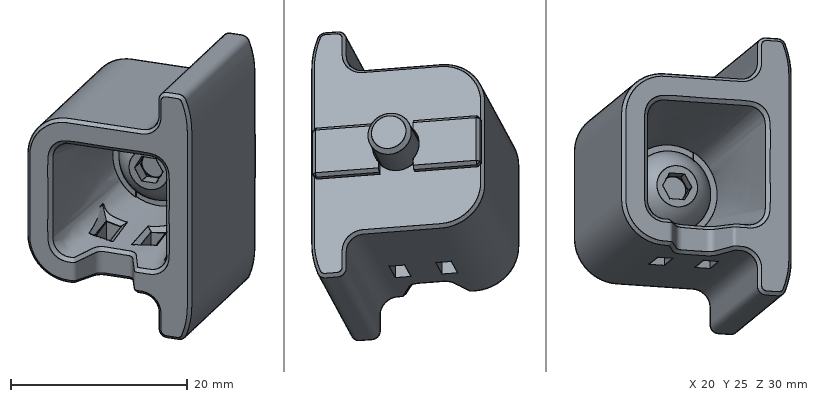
import cadquery as cq
import math


body_size = 20.0
flange_height = 30.0
flange_thickness = 4.0
depth = 20.0
body_corner_radius = 5.0
web_radius = 2.0
tip_radius = 1.0
crown_radius = 10.0
crown_start_z = 10.7
edge_chamfer = 0.4

cavity_size = 14.0
cavity_corner_radius = 2.0
seat_diameter = 11.0
seat_depth = 15.0

hole_diameter = 5.4
relief_depth = 0.2

key_length = 19.38
key_width = 6.0
key_height = 1.0
key_gap = 4.02

slot_depth = 3.5
slot_rear_width = 4.02
slot_front_width = 7.32
slot_corner_radius = 1.0
slot_mouth_radius = 0.5
window_width = 1.8
window_length = 3.48
window_front_y = 6.12
window_spacing = 5.4
window_chamfer = 0.6
window_sites = [(-1, -5.82, 0.23, 0.17), (1, -6.0, 0.14, 0.14)]

shank_diameter = 5.0
shank_end_y = 25.0
shank_chamfer = 0.5
head_diameter = 9.5
head_height = 2.75
head_flat_diameter = 4.8
socket_flats = 3.0
socket_depth = 1.55
socket_drill_depth = 1.7

reach = 0.3

body_half = body_size / 2
flange_half = flange_height / 2
flange_inner_x = body_half - flange_thickness
seat_radius = seat_diameter / 2
bottom_middle_x = ((body_corner_radius - body_half) + (flange_inner_x - web_radius)) / 2


def facing_front(y):
    """Workplane parallel to the front face at distance y behind it, with local axes X and Z."""
    return cq.Workplane(cq.Plane((0, y, 0), (1, 0, 0), (0, -1, 0)))


def box_region(x_range, y_range, z_range):
    """Selector for edges whose centres lie inside a box."""
    low, high = zip(x_range, y_range, z_range)
    return cq.selectors.BoxSelector(low, high)


def crown_x(z):
    """X of the curved outer side of the flange at height z."""
    return body_half - crown_radius + math.sqrt(crown_radius**2 - (abs(z) - crown_start_z) ** 2)


def make_block():
    """Solid body and flange with rounded outline corners."""
    crown_middle_z = (crown_start_z + flange_half) / 2
    tip_x = crown_x(flange_half)
    block = (
        facing_front(0)
        .moveTo(-body_half, -body_half)
        .lineTo(flange_inner_x, -body_half)
        .lineTo(flange_inner_x, -flange_half)
        .lineTo(tip_x, -flange_half)
        .threePointArc((crown_x(crown_middle_z), -crown_middle_z), (body_half, -crown_start_z))
        .lineTo(body_half, crown_start_z)
        .threePointArc((crown_x(crown_middle_z), crown_middle_z), (tip_x, flange_half))
        .lineTo(flange_inner_x, flange_half)
        .lineTo(flange_inner_x, body_half)
        .lineTo(-body_half, body_half)
        .close()
        .extrude(-depth)
    )
    corners = [
        (-body_half, body_half, body_corner_radius),
        (flange_inner_x, body_half, web_radius),
        (flange_inner_x, flange_half, tip_radius),
        (tip_x, flange_half, tip_radius),
    ]
    for x, height, radius in corners:
        for z in (-height, height):
            corner = box_region((x - reach, x + reach), (0, depth), (z - reach, z + reach))
            block = block.edges("|Y").edges(corner).fillet(radius)
    return block


def make_cavity():
    """Loft from the rounded-square mouth to the round seat."""
    half = cavity_size / 2
    flat = half - cavity_corner_radius
    bulge = flat + cavity_corner_radius * math.sqrt(0.5)
    wall_share = flat / (flat + math.pi * cavity_corner_radius / 4)
    wall_angle = 45 * wall_share

    def quarter_turns(point, turns):
        for _ in range(turns):
            point = (-point[1], point[0])
        return point

    def seat_point(degrees):
        angle = math.radians(degrees)
        return (seat_radius * math.cos(angle), seat_radius * math.sin(angle))

    mouth = facing_front(0).moveTo(half, -flat)
    seat = facing_front(seat_depth).moveTo(*seat_point(-wall_angle))
    for side in range(4):
        mouth = mouth.lineTo(*quarter_turns((half, flat), side)).threePointArc(
            quarter_turns((bulge, bulge), side), quarter_turns((flat, half), side)
        )
        middle = 90 * side
        wall_end = middle + wall_angle
        next_wall = middle + 90 - wall_angle
        seat = seat.threePointArc(seat_point(middle), seat_point(wall_end))
        seat = seat.threePointArc(seat_point(middle + 45), seat_point(next_wall))
    return cq.Workplane(cq.Solid.makeLoft([mouth.wire().val(), seat.wire().val()], True))


def bottom_opening_plane():
    """Workplane on the underside of the body, centred between the openings."""
    return cq.Workplane("XY", origin=(bottom_middle_x, 0, -body_half))


def make_slot():
    """Flared slot, open to the front."""
    front, rear = slot_front_width / 2, slot_rear_width / 2
    return (
        bottom_opening_plane()
        .polyline([(-front, 0), (-rear, slot_depth), (rear, slot_depth), (front, 0)])
        .close()
        .extrude(body_half)
        .edges("|Z and >Y")
        .fillet(slot_corner_radius)
    )


def add_slot(housing):
    """Cut the slot, round its mouth and chamfer it together with the front face."""
    housing = housing.cut(make_slot())
    half_span = slot_front_width / 2 + reach
    x_range = (bottom_middle_x - half_span, bottom_middle_x + half_span)
    z_range = (-body_half - reach, -seat_radius)
    mouth = box_region(x_range, (-reach, reach), z_range)
    housing = housing.edges("|Z").edges(mouth).fillet(slot_mouth_radius)
    rim = housing.edges(box_region(x_range, (-reach, slot_depth + reach), z_range)).edges("not |Z")
    front = housing.faces("<Y").edges("not |Z")
    return front.add(rim).chamfer(edge_chamfer)


def make_windows():
    """Two rectangular openings behind the slot, side by side."""
    return (
        bottom_opening_plane()
        .center(0, window_front_y + window_length / 2)
        .rarray(window_spacing, 0.3, 2, 1)
        .rect(window_width, window_length)
        .extrude(body_half)
    )


def make_window_flare(side, wall_z, outward_rise, rearward_rise):
    """Pyramid that bevels the inner rim of one window, square to the sloping cavity wall."""
    centre = (bottom_middle_x + side * window_spacing / 2, window_front_y + window_length / 2, wall_z)
    normal = cq.Vector(-side * outward_rise, -rearward_rise, 1).normalized()
    rim = cq.Workplane(cq.Plane(centre, cq.Vector(1, 0, side * outward_rise), normal))
    flare = 2 * window_chamfer
    return (
        rim.workplane(offset=-window_chamfer)
        .rect(window_width, window_length)
        .workplane(offset=flare)
        .rect(window_width + 2 * flare, window_length + 2 * flare)
        .loft()
    )


def add_windows(housing):
    """Cut the windows and bevel their inner rims."""
    housing = housing.cut(make_windows())
    for site in window_sites:
        housing = housing.cut(make_window_flare(*site))
    return housing


def make_key():
    """Chamfered bar on the rear face, divided in two by a gap."""
    root = facing_front(depth)
    bar = root.rect(key_length, key_width).extrude(-key_height)
    bar = bar.edges("|Y or >Y").chamfer(edge_chamfer)
    return bar.cut(root.rect(key_gap, key_width).extrude(-key_height))


def make_screw_passage():
    """Through hole and the strip recess across the seat."""
    hole_length = depth + key_height - seat_depth
    hole = facing_front(seat_depth).circle(hole_diameter / 2).extrude(-hole_length)
    disc = facing_front(seat_depth).circle(seat_radius).extrude(-relief_depth)
    strip = facing_front(seat_depth).rect(hole_diameter, seat_diameter).extrude(-relief_depth)
    return hole.union(disc.intersect(strip))


def make_housing():
    """Bracket with cavity, slot, windows, key and screw passage, as one solid."""
    housing = make_block().faces(">Y").edges().chamfer(edge_chamfer)
    housing = add_slot(housing.cut(make_cavity()))
    housing = add_windows(housing)
    return housing.union(make_key()).cut(make_screw_passage()).solids()


def make_screw():
    """Button-head screw with a hexagon socket, revolved about the Y axis."""
    head_radius = head_diameter / 2
    flat_radius = head_flat_diameter / 2
    shank_radius = shank_diameter / 2
    head_top_y = seat_depth - head_height
    centre_offset = (head_radius**2 - flat_radius**2 - head_height**2) / (2 * head_height)
    sphere_radius = math.hypot(head_radius, centre_offset)
    dome_middle_radius = (head_radius + flat_radius) / 2
    dome_middle_y = seat_depth + centre_offset - math.sqrt(sphere_radius**2 - dome_middle_radius**2)
    screw = (
        cq.Workplane("XY")
        .moveTo(0, head_top_y)
        .lineTo(flat_radius, head_top_y)
        .threePointArc((dome_middle_radius, dome_middle_y), (head_radius, seat_depth))
        .lineTo(shank_radius, seat_depth)
        .lineTo(shank_radius, shank_end_y - shank_chamfer)
        .lineTo(shank_radius - shank_chamfer, shank_end_y)
        .lineTo(0, shank_end_y)
        .close()
        .revolve(360, (0, 0, 0), (0, 1, 0))
    )
    socket_corners = socket_flats / math.cos(math.radians(30))
    socket = facing_front(head_top_y).polygon(6, socket_corners).extrude(-socket_depth)
    drill = facing_front(head_top_y).circle(socket_flats / 2).extrude(-socket_drill_depth)
    return screw.cut(socket).cut(drill).solids()


housing = make_housing()
screw = make_screw()
result = cq.Compound.makeCompound([housing.val(), screw.val()])